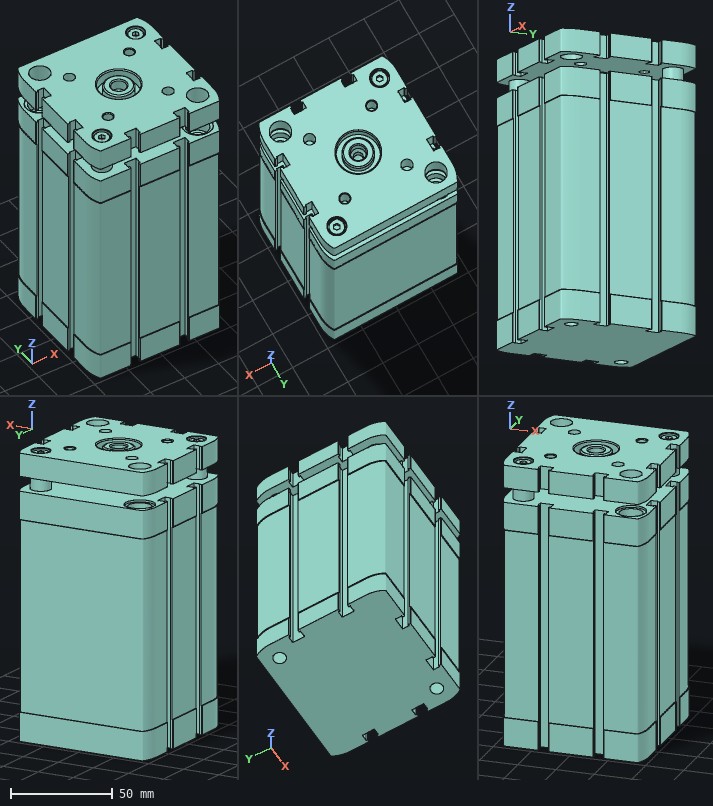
import cadquery as cq
import math

TOTAL_HEIGHT = 148.5
SIDE = 75.5
HALF = SIDE / 2

BULGE_START = 28.2
BULGE_RADIUS = 18.3
CORNER_FILLET = 1.2

PLATE_THICKNESS = 12.0
HOUSING_HEIGHT = 128.9
BOTTOM_CAP_HEIGHT = 15.1
TOP_CAP_HEIGHT = 14.7
BARREL_INSET = 0.5
PLATE_BOTTOM = TOTAL_HEIGHT - PLATE_THICKNESS

SLOT_OFFSET = 14.4
SLOT_MOUTH_WIDTH = 5.2
SLOT_MOUTH_DEPTH = 1.5
SLOT_EDGE_CHAMFER = 0.3
SLOT_WIDTH = 6.8
SLOT_DEPTH = 5.0

CORNER_OFFSET = 28.2
GUIDE_ROD_DIAMETER = 10.5
ROD_BOTTOM = HOUSING_HEIGHT - TOP_CAP_HEIGHT
SCREW_RECESS_DIAMETER = 9.4
SCREW_RECESS_RIM_DIAMETER = 10.0
SCREW_RECESS_DEPTH = 2.2
SCREW_DIAMETER = 7.9
SCREW_TOP_DEPTH = 0.9
SCREW_SOCKET_SIZE = 3.5
SCREW_SOCKET_DEPTH = 2.2
ACCESS_HOLE_DIAMETER = 11.0

FIXING_HOLE_DIAMETER = 6.7
FIXING_CONE_DIAMETER = 8.6
FIXING_BORE_DIAMETER = 12.0
FIXING_BORE_DEPTH = 8.5
FIXING_RIM_DIAMETER = 15.5
FIXING_RIM_DEPTH = 1.0

PLATE_HOLE_OFFSET = 17.7
PLATE_HOLE_DIAMETER = 6.0
THREAD_CORE_DIAMETER = 5.0

PISTON_ROD_DIAMETER = 16.0
ROD_FLATS_WIDTH = 12.9
ROD_FLATS_RISE = 1.0
CENTRE_BORE_DIAMETER = 22.0
CENTRE_BORE_RIM_DIAMETER = 23.2
CENTRE_BORE_DEPTH = 6.0
ROD_END_CHAMFER = 0.7
ROD_TOP_DEPTH = 0.7
ROD_TOP = TOTAL_HEIGHT - ROD_TOP_DEPTH
ROD_THREAD_DIAMETER = 8.0
ROD_THREAD_RIM_DIAMETER = 9.2
ROD_THREAD_DEPTH = 6.0
ROD_DRILL_DIAMETER = 5.0
ROD_DRILL_DEPTH = 11.9
DRILL_POINT_ANGLE = 120

CENTRE = [(0, 0)]
ROD_CORNERS = [(-CORNER_OFFSET, -CORNER_OFFSET), (CORNER_OFFSET, CORNER_OFFSET)]
FIXING_CORNERS = [(-CORNER_OFFSET, CORNER_OFFSET), (CORNER_OFFSET, -CORNER_OFFSET)]


def outline_block(inset, bottom, height):
    """Square block whose X sides curve inwards towards the corners."""
    side_x = end_y = HALF - inset
    radius = BULGE_RADIUS

    def arc_x(y):
        return side_x - radius + math.sqrt(radius**2 - (y - BULGE_START) ** 2)

    mid_y = (BULGE_START + end_y) / 2
    block = (
        cq.Workplane("XY")
        .workplane(offset=bottom)
        .moveTo(side_x, -BULGE_START)
        .lineTo(side_x, BULGE_START)
        .threePointArc((arc_x(mid_y), mid_y), (arc_x(end_y), end_y))
        .lineTo(-arc_x(end_y), end_y)
        .threePointArc((-arc_x(mid_y), mid_y), (-side_x, BULGE_START))
        .lineTo(-side_x, -BULGE_START)
        .threePointArc((-arc_x(mid_y), -mid_y), (-arc_x(end_y), -end_y))
        .lineTo(arc_x(end_y), -end_y)
        .threePointArc((arc_x(mid_y), -mid_y), (side_x, -BULGE_START))
        .close()
        .extrude(height)
    )
    return block.edges("|Z and (>Y or <Y)").fillet(CORNER_FILLET)


def t_slots():
    """T-slot cutters along Z: two each in the -Y, -X and +X sides."""
    mouth = SLOT_MOUTH_WIDTH / 2
    edge = mouth + SLOT_EDGE_CHAMFER
    channel = SLOT_WIDTH / 2
    right_half = [
        (edge, 0),
        (mouth, SLOT_EDGE_CHAMFER),
        (mouth, SLOT_MOUTH_DEPTH),
        (channel, SLOT_MOUTH_DEPTH),
        (channel, SLOT_DEPTH),
    ]
    left_half = [(-x, y) for x, y in reversed(right_half)]
    slot = cq.Workplane("XY").polyline(right_half + left_half).close().extrude(TOTAL_HEIGHT)
    cutters = cq.Workplane("XY")
    for angle in (-90, 0, 90):
        for offset in (-SLOT_OFFSET, SLOT_OFFSET):
            placed = slot.translate((offset, -HALF, 0))
            cutters = cutters.add(placed.rotate((0, 0, 0), (0, 0, 1), angle))
    return cutters.combine()


def cylinders(points, diameter, bottom, top):
    """Upright cylinders at the given points."""
    base = cq.Workplane("XY").workplane(offset=bottom)
    return base.pushPoints(points).circle(diameter / 2).extrude(top - bottom)


def cones(points, bottom_diameter, top_diameter, bottom, top):
    """Upright cones or frustums at the given points."""
    cone = cq.Solid.makeCone(bottom_diameter / 2, top_diameter / 2, top - bottom)
    return cq.Workplane("XY").pushPoints(points).eachpoint(
        lambda place: cone.moved(cq.Location((0, 0, bottom))).moved(place)
    )


def make_housing():
    """Barrel between two slightly larger caps, with rod bores and fixing holes."""
    barrel_height = HOUSING_HEIGHT - BOTTOM_CAP_HEIGHT - TOP_CAP_HEIGHT
    top_cap_bottom = BOTTOM_CAP_HEIGHT + barrel_height
    housing = (
        outline_block(0, 0, BOTTOM_CAP_HEIGHT)
        .union(outline_block(BARREL_INSET, BOTTOM_CAP_HEIGHT, barrel_height))
        .union(outline_block(0, top_cap_bottom, TOP_CAP_HEIGHT))
        .cut(t_slots())
    )
    housing = housing.cut(cylinders(CENTRE, PISTON_ROD_DIAMETER, ROD_BOTTOM, HOUSING_HEIGHT))
    housing = housing.cut(cylinders(ROD_CORNERS, GUIDE_ROD_DIAMETER, ROD_BOTTOM, HOUSING_HEIGHT))
    for diameter, depth in (
        (FIXING_HOLE_DIAMETER, HOUSING_HEIGHT),
        (FIXING_BORE_DIAMETER, FIXING_BORE_DEPTH),
        (FIXING_RIM_DIAMETER, FIXING_RIM_DEPTH),
    ):
        housing = housing.cut(
            cylinders(FIXING_CORNERS, diameter, HOUSING_HEIGHT - depth, HOUSING_HEIGHT)
        )
    bore_floor = HOUSING_HEIGHT - FIXING_BORE_DEPTH
    cone_bottom = bore_floor - (FIXING_CONE_DIAMETER - FIXING_HOLE_DIAMETER) / 2
    return housing.cut(
        cones(FIXING_CORNERS, FIXING_HOLE_DIAMETER, FIXING_CONE_DIAMETER, cone_bottom, bore_floor)
    )


def make_piston_rod():
    """Piston rod with wrench flats, reaching up into the plate opening."""
    rod = cylinders(CENTRE, PISTON_ROD_DIAMETER, ROD_BOTTOM, ROD_TOP).faces(">Z").chamfer(ROD_END_CHAMFER)
    flat_y = ROD_FLATS_WIDTH / 2
    run_out = PISTON_ROD_DIAMETER / 2 - flat_y
    flat = (
        cq.Workplane("YZ")
        .moveTo(flat_y, PLATE_BOTTOM)
        .lineTo(flat_y, HOUSING_HEIGHT + ROD_FLATS_RISE)
        .lineTo(flat_y + run_out, HOUSING_HEIGHT)
        .lineTo(flat_y + run_out, PLATE_BOTTOM)
        .close()
        .extrude(PISTON_ROD_DIAMETER / 2, both=True)
    )
    return rod.cut(flat).cut(flat.mirror("XZ"))


def make_plate():
    """Front plate with its slots, access holes, small holes and central opening."""
    plate = outline_block(0, PLATE_BOTTOM, PLATE_THICKNESS).cut(t_slots())
    plate = plate.cut(cylinders(FIXING_CORNERS, ACCESS_HOLE_DIAMETER, PLATE_BOTTOM, TOTAL_HEIGHT))

    reach = PLATE_HOLE_OFFSET
    pin_points = [(-reach, reach), (reach, -reach)]
    thread_points = [(-reach, -reach), (reach, reach)]
    sink_bottom = TOTAL_HEIGHT - (PLATE_HOLE_DIAMETER - THREAD_CORE_DIAMETER) / 2
    plate = (
        plate.cut(cylinders(pin_points, PLATE_HOLE_DIAMETER, PLATE_BOTTOM, TOTAL_HEIGHT))
        .cut(cylinders(thread_points, THREAD_CORE_DIAMETER, PLATE_BOTTOM, TOTAL_HEIGHT))
        .cut(cones(thread_points, THREAD_CORE_DIAMETER, PLATE_HOLE_DIAMETER, sink_bottom, TOTAL_HEIGHT))
    )

    bore_floor = TOTAL_HEIGHT - CENTRE_BORE_DEPTH
    rim_bottom = TOTAL_HEIGHT - (CENTRE_BORE_RIM_DIAMETER - CENTRE_BORE_DIAMETER) / 2
    return plate.cut(cylinders(CENTRE, CENTRE_BORE_DIAMETER, bore_floor, TOTAL_HEIGHT)).cut(
        cones(CENTRE, CENTRE_BORE_DIAMETER, CENTRE_BORE_RIM_DIAMETER, rim_bottom, TOTAL_HEIGHT)
    )


def cut_rod_thread(carriage):
    """Chamfered thread hole in the piston rod, narrowing to a drilled hole with a conical tip."""
    rim_bottom = ROD_TOP - (ROD_THREAD_RIM_DIAMETER - ROD_THREAD_DIAMETER) / 2
    thread_floor = ROD_TOP - ROD_THREAD_DEPTH
    run_out_bottom = thread_floor - (ROD_THREAD_DIAMETER - ROD_DRILL_DIAMETER) / 2
    drill_floor = ROD_TOP - ROD_DRILL_DEPTH
    drill_tip = drill_floor - ROD_DRILL_DIAMETER / 2 / math.tan(math.radians(DRILL_POINT_ANGLE / 2))
    return (
        carriage.cut(cones(CENTRE, ROD_THREAD_DIAMETER, ROD_THREAD_RIM_DIAMETER, rim_bottom, ROD_TOP))
        .cut(cylinders(CENTRE, ROD_THREAD_DIAMETER, thread_floor, ROD_TOP))
        .cut(cones(CENTRE, ROD_DRILL_DIAMETER, ROD_THREAD_DIAMETER, run_out_bottom, thread_floor))
        .cut(cylinders(CENTRE, ROD_DRILL_DIAMETER, drill_floor, ROD_TOP))
        .cut(cones(CENTRE, 0, ROD_DRILL_DIAMETER, drill_tip, drill_floor))
    )


def add_screw_ends(carriage):
    """Recess above each guide rod, with the socketed end of its screw standing in it."""
    floor = TOTAL_HEIGHT - SCREW_RECESS_DEPTH
    rim_bottom = TOTAL_HEIGHT - (SCREW_RECESS_RIM_DIAMETER - SCREW_RECESS_DIAMETER) / 2
    screw_top = TOTAL_HEIGHT - SCREW_TOP_DEPTH
    sockets = (
        cq.Workplane("XY")
        .workplane(offset=screw_top)
        .pushPoints(ROD_CORNERS)
        .polygon(6, SCREW_SOCKET_SIZE)
        .extrude(-SCREW_SOCKET_DEPTH)
    )
    return (
        carriage.cut(cylinders(ROD_CORNERS, SCREW_RECESS_DIAMETER, floor, TOTAL_HEIGHT))
        .cut(cones(ROD_CORNERS, SCREW_RECESS_DIAMETER, SCREW_RECESS_RIM_DIAMETER, rim_bottom, TOTAL_HEIGHT))
        .union(cylinders(ROD_CORNERS, SCREW_DIAMETER, floor, screw_top))
        .cut(sockets)
    )


def make_carriage():
    """Moving body: front plate, piston rod and two guide rods."""
    guide_rods = cylinders(ROD_CORNERS, GUIDE_ROD_DIAMETER, ROD_BOTTOM, PLATE_BOTTOM)
    carriage = make_plate().union(make_piston_rod()).union(guide_rods)
    return add_screw_ends(cut_rod_thread(carriage))


housing = make_housing()
carriage = make_carriage()
result = cq.Compound.makeCompound([housing.solids().val(), carriage.solids().val()])